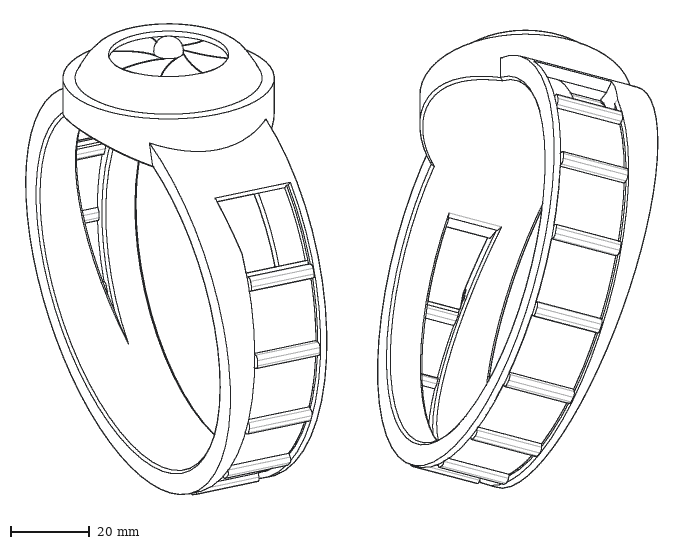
import cadquery as cq
import math

RING_OUTER_R = 53.6
BORE_R = 47.4
BORE_EDGE_CHAMFER = 0.7
RING_BACK_Y = 16.6
RING_FRONT_Y = -11.7
RING_FRONT_SLOPE = 0.104
CUT_REACH = 72.9

HEAD_DIAMETER = 53.6
HEAD_TOP_Z = 56.1

GROOVE_FLOOR_R = 50.5
REBATE_FLOOR_R = 52.0
REBATE_FRONT_Y = -4.1
REBATE_BACK_Y = 14.8
WINDOW_TOP_ANGLE = 45.7
WINDOW_BACK_Y = 6.8
WINDOW_EDGE_CHAMFER = 0.7
WINDOW_TIP_Z = -24.8
WINDOW_SLOPE = 0.2154

STRAP_OUTER_R = REBATE_FLOOR_R
STRAP_FRONT_Y = -3.6
STRAP_BACK_Y = 14.3
STRAP_END_ANGLE = 23.6
BAR_PITCH_ANGLE = 22.1
BARS_PER_SIDE = 5
OVERALL_WIDTH = 108.3
BAR_TOP_R = OVERALL_WIDTH / 2
BAR_BOTTOM_R = 49.7
BAR_WIDTH = 3.6
BAR_EDGE_RADIUS = 1.1

BEZEL_BASE_R = 23.7
BEZEL_HEIGHT = 7.4
BEZEL_CREST_R = 17.3
BEZEL_BORE_R = 15.2
BEZEL_SIDE_R = 20.9
BEZEL_SIDE_HEIGHT = 4.7
BEZEL_LIP_DROP = 1.0

OVERALL_HEIGHT = 121.5
IRIS_EDGE_Z = 61.1
IRIS_APEX_Z = 63.5
BALL_R = 3.8
BALL_CENTRE_Z = OVERALL_HEIGHT - BAR_TOP_R - BALL_R
BLADE_COUNT = 7
BLADE_LINE_WIDTH = 0.1
BLADE_LINE_DEPTH = 0.1
BLADE_RIM_ANGLE = 117.0
BLADE_MIDDLE_R = 9.2
BLADE_MIDDLE_ANGLE = 119.0
BLADE_HUB_ANGLE = 163.0


def polar(radius, angle):
    """Point at a radius and an angle in degrees."""
    return (radius * math.cos(math.radians(angle)), radius * math.sin(math.radians(angle)))


def cylinder_along_y(radius, y_min, y_max):
    return cq.Workplane("XZ", origin=(0, y_max, 0)).circle(radius).extrude(y_max - y_min)


def lower_arc(inner_r, outer_r, y_min, y_max, end_angle):
    """Arc-shaped block round the bottom of the ring, ending at end_angle on both sides."""
    return (
        cq.Workplane("XZ", origin=(0, y_max, 0))
        .moveTo(*polar(outer_r, end_angle))
        .threePointArc((0, -outer_r), polar(outer_r, 180 - end_angle))
        .lineTo(*polar(inner_r, 180 - end_angle))
        .threePointArc((0, -inner_r), polar(inner_r, end_angle))
        .close()
        .extrude(y_max - y_min)
    )


def side_prism(points):
    """Outline of (Y, Z) points carried right across the ring along X."""
    return cq.Workplane("YZ").polyline(points).close().extrude(CUT_REACH, both=True)


def make_strap():
    strap = lower_arc(GROOVE_FLOOR_R, STRAP_OUTER_R, STRAP_FRONT_Y, STRAP_BACK_Y, STRAP_END_ANGLE)
    bar_height = BAR_TOP_R - BAR_BOTTOM_R
    bar_length = STRAP_BACK_Y - STRAP_FRONT_Y
    bottom_bar = (
        cq.Workplane("XY")
        .box(BAR_WIDTH, bar_length, bar_height)
        .edges("|Y")
        .fillet(BAR_EDGE_RADIUS)
        .translate((0, STRAP_FRONT_Y + bar_length / 2, -BAR_TOP_R + bar_height / 2))
    )
    for step in range(-BARS_PER_SIDE, BARS_PER_SIDE + 1):
        strap = strap.union(bottom_bar.rotate((0, 0, 0), (0, 1, 0), step * BAR_PITCH_ANGLE))
    return strap


def front_y(z):
    """Y of the sloping front face at height z."""
    return RING_FRONT_Y - RING_FRONT_SLOPE * z


def window_y(z):
    """Y of the slanted window edge at height z."""
    return WINDOW_BACK_Y - WINDOW_SLOPE * (z - WINDOW_TIP_Z)


def window_prism(top_z):
    """Triangle that widens upward from its tip, carried across both flanks of the ring."""
    return side_prism([
        (WINDOW_BACK_Y, WINDOW_TIP_Z),
        (WINDOW_BACK_Y, top_z),
        (window_y(top_z), top_z),
    ])


def make_window_cutter():
    """Openings into the bore, topped where the groove floor ends, with the groove widened to match."""
    floor_end_z = polar(GROOVE_FLOOR_R, WINDOW_TOP_ANGLE)[1]
    groove_ring = lower_arc(GROOVE_FLOOR_R, CUT_REACH, -CUT_REACH, CUT_REACH, WINDOW_TOP_ANGLE)
    widened_groove = window_prism(CUT_REACH).intersect(groove_ring)
    return window_prism(floor_end_z).union(widened_groove)


def make_hoop(bore):
    """Tapered hoop with its two windows; the rims of the bore and the windows are chamfered."""
    taper = side_prism([
        (front_y(-CUT_REACH), -CUT_REACH),
        (RING_BACK_Y, -CUT_REACH),
        (RING_BACK_Y, CUT_REACH),
        (front_y(CUT_REACH), CUT_REACH),
    ])
    bore_face = cq.selectors.NearestToPointSelector((0, 0, 0))
    hoop = cylinder_along_y(RING_OUTER_R, -CUT_REACH, RING_BACK_Y).intersect(taper).cut(bore)
    hoop = hoop.faces(bore_face).edges("not |Y").chamfer(BORE_EDGE_CHAMFER)
    hoop = hoop.cut(make_window_cutter())
    window_rims = hoop.faces(bore_face).val().innerWires()
    return hoop.newObject(window_rims).edges().chamfer(WINDOW_EDGE_CHAMFER)


def make_head(bore):
    head = cq.Workplane("XY").circle(HEAD_DIAMETER / 2).extrude(HEAD_TOP_Z).cut(bore)
    return head.faces("<Z").edges().chamfer(BORE_EDGE_CHAMFER)


def make_ring(strap):
    bore = cylinder_along_y(BORE_R, -CUT_REACH, CUT_REACH).rotate((0, 0, 0), (0, 1, 0), -90)
    groove = lower_arc(GROOVE_FLOOR_R, CUT_REACH, STRAP_FRONT_Y, STRAP_BACK_Y, WINDOW_TOP_ANGLE)
    rebate = lower_arc(REBATE_FLOOR_R, CUT_REACH, REBATE_FRONT_Y, REBATE_BACK_Y, WINDOW_TOP_ANGLE)
    hoop = make_hoop(bore).cut(groove).cut(rebate)
    return hoop.union(make_head(bore)).cut(strap)


def make_bezel():
    top_z = HEAD_TOP_Z + BEZEL_HEIGHT
    profile = (
        cq.Workplane("XZ")
        .moveTo(BEZEL_BORE_R, HEAD_TOP_Z)
        .lineTo(BEZEL_BASE_R, HEAD_TOP_Z)
        .spline(
            [
                (BEZEL_SIDE_R, HEAD_TOP_Z + BEZEL_SIDE_HEIGHT),
                (BEZEL_CREST_R, top_z),
                (BEZEL_BORE_R, top_z - BEZEL_LIP_DROP),
            ],
            includeCurrent=True,
        )
        .close()
    )
    return profile.revolve(360, (0, 0, 0), (0, 1, 0))


def make_blade_lines():
    """Thin curved walls that mark where neighbouring blades meet."""
    rim_x, rim_y = polar(BEZEL_BORE_R, BLADE_RIM_ANGLE)
    middle_x, middle_y = polar(BLADE_MIDDLE_R, BLADE_MIDDLE_ANGLE)
    hub_x, hub_y = polar(BALL_R, BLADE_HUB_ANGLE)
    line = (
        cq.Workplane("XY", origin=(0, 0, HEAD_TOP_Z))
        .moveTo(rim_x, rim_y)
        .threePointArc((middle_x, middle_y), (hub_x, hub_y))
        .lineTo(hub_x + BLADE_LINE_WIDTH, hub_y)
        .threePointArc((middle_x + BLADE_LINE_WIDTH, middle_y), (rim_x + BLADE_LINE_WIDTH, rim_y))
        .close()
        .extrude(IRIS_APEX_Z - HEAD_TOP_Z)
    )
    lines = cq.Workplane("XY")
    for blade in range(BLADE_COUNT):
        lines = lines.add(line.rotate((0, 0, 0), (0, 0, 1), blade * 360 / BLADE_COUNT))
    return lines.combine()


def make_iris():
    disc = (
        cq.Workplane("XZ")
        .moveTo(0, HEAD_TOP_Z)
        .lineTo(BEZEL_BORE_R, HEAD_TOP_Z)
        .lineTo(BEZEL_BORE_R, IRIS_EDGE_Z)
        .lineTo(0, IRIS_APEX_Z)
        .close()
        .revolve(360, (0, 0, 0), (0, 1, 0))
    )
    lines = make_blade_lines().cut(disc.translate((0, 0, -BLADE_LINE_DEPTH)))
    ball = cq.Workplane("XY").sphere(BALL_R).translate((0, 0, BALL_CENTRE_Z))
    return disc.cut(lines).union(ball)


strap = make_strap()
ring = make_ring(strap)
bezel = make_bezel()
iris = make_iris()

result = cq.Compound.makeCompound([ring.val(), strap.val(), bezel.val(), iris.val()])